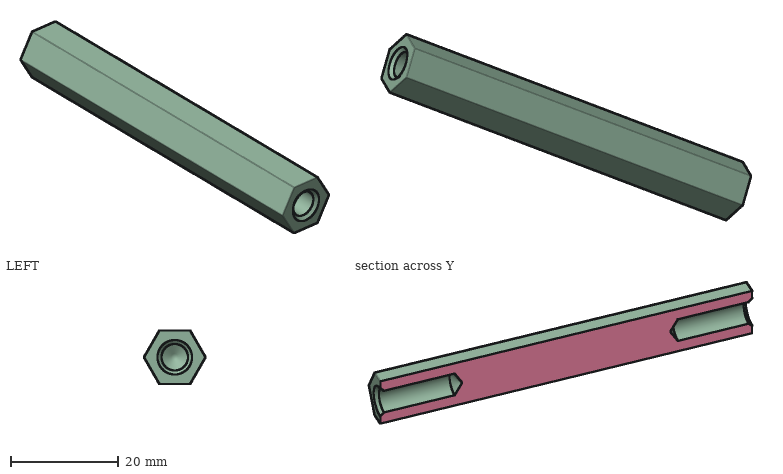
import cadquery as cq
import math

length = 75.0
across_corners = 11.55
edge_fillet = 0.1

hole_diameter = 4.95
mouth_diameter = 6.45
hole_depth = 15.0
drill_point_angle = 118.0


def hole_cutter():
    """Countersunk blind hole entering the X = 0 face, with a conical bottom."""
    hole_radius = hole_diameter / 2
    mouth_radius = mouth_diameter / 2
    countersink_depth = mouth_radius - hole_radius
    point_depth = hole_radius / math.tan(math.radians(drill_point_angle / 2))
    return (
        cq.Workplane("XY")
        .moveTo(0, 0)
        .lineTo(0, mouth_radius)
        .lineTo(countersink_depth, hole_radius)
        .lineTo(hole_depth, hole_radius)
        .lineTo(hole_depth + point_depth, 0)
        .close()
        .revolve(360, (0, 0, 0), (1, 0, 0))
    )


bar = (
    cq.Workplane("YZ")
    .polygon(6, across_corners)
    .extrude(length)
    .edges()
    .fillet(edge_fillet)
)

near_hole = hole_cutter()
far_hole = near_hole.mirror("YZ").translate((length, 0, 0))

result = bar.cut(near_hole).cut(far_hole)